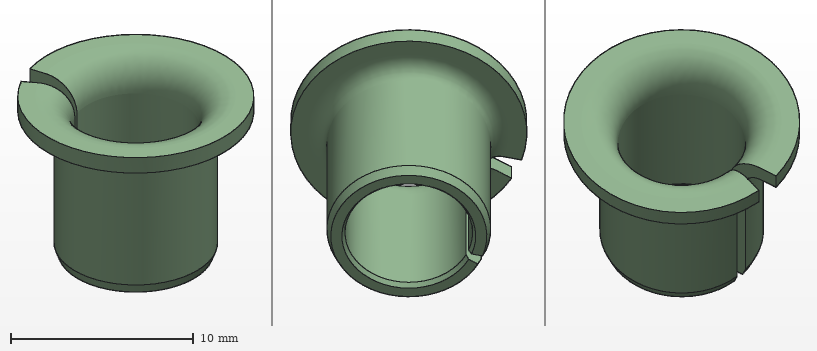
import cadquery as cq
import math

flange_radius = 6.48
height = 10.0
wall = 1.0
body_radius = 4.5
bore_radius = body_radius - wall

outer_round = 1.0
inner_round = outer_round + wall
round_center_x = body_radius + outer_round
round_center_z = height - inner_round

taper_height = 0.6
taper_width = taper_height * math.tan(math.radians(20))

bevel_height = 0.3
bevel_width = bevel_height * math.tan(math.radians(30))

slit_half_angle = math.radians(10)
slit_apex_x = -2.5
slit_end_x = -7.78


def flanged_sleeve():
    """Revolve the wall section about Z, with the seam turned to -X where the slit removes it."""
    diagonal = math.sqrt(0.5)
    inner_mid = (round_center_x - inner_round * diagonal, round_center_z + inner_round * diagonal)
    outer_mid = (round_center_x - outer_round * diagonal, round_center_z + outer_round * diagonal)
    section = (
        cq.Workplane("XZ")
        .moveTo(bore_radius + bevel_width, 0)
        .lineTo(bore_radius, bevel_height)
        .lineTo(bore_radius, round_center_z)
        .threePointArc(inner_mid, (round_center_x, height))
        .lineTo(flange_radius, height)
        .lineTo(flange_radius, height - wall)
        .lineTo(round_center_x, height - wall)
        .threePointArc(outer_mid, (body_radius, round_center_z))
        .lineTo(body_radius, taper_height)
        .lineTo(body_radius - taper_width, 0)
        .close()
    )
    sleeve = section.revolve(360, (0, 0, 0), (0, 1, 0))
    return sleeve.rotate((0, 0, 0), (0, 0, 1), 180)


def slit_wedge():
    """Full-height wedge that widens outward from its apex inside the bore."""
    half_width = (slit_apex_x - slit_end_x) * math.tan(slit_half_angle)
    return (
        cq.Workplane("XY")
        .polyline([(slit_apex_x, 0), (slit_end_x, half_width), (slit_end_x, -half_width)])
        .close()
        .extrude(height)
    )


result = flanged_sleeve().cut(slit_wedge())